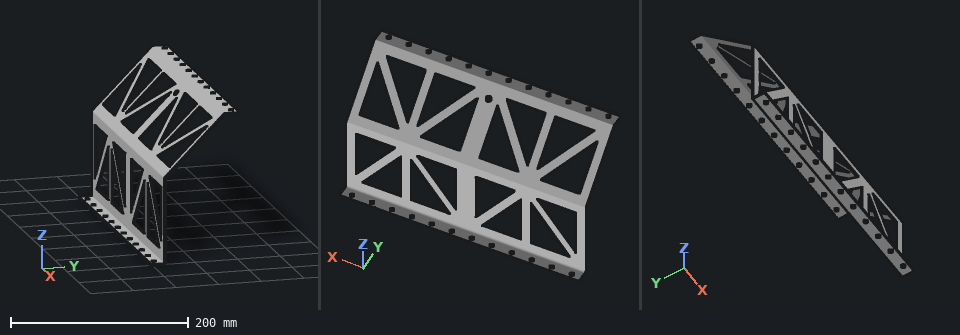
import cadquery as cq
import math

length = 304.8
depth = 103.3
height = 172.5
thickness = 2.0
inner_radius = 0.55
outer_radius = inner_radius + thickness

slope_angle = 45.0
slope_sin = math.sin(math.radians(slope_angle))
slope_cos = math.cos(math.radians(slope_angle))
panel_flat = (height - 2 * outer_radius) / (1 + slope_sin)
foot_flat = 14.3

rivet_diameter = 5.0
rivet_count = 12
rivet_pitch = length / rivet_count
rivet_edge_distance = 6.5

bar_width = rivet_pitch / 2
center_bar_width = 2 * bar_width
bay_width = (length / 2 - center_bar_width / 2 - 2 * bar_width) / 2
bay_height = panel_flat - 2 * bar_width

locating_hole_diameter = 6.5
locating_hole_drop = 19.2

foot_bend = (foot_flat, outer_radius)
wall_front = foot_flat + inner_radius
middle_bend = (wall_front + outer_radius, outer_radius + panel_flat)
top_bend = (
    middle_bend[0] + panel_flat * slope_cos,
    middle_bend[1] + panel_flat * slope_sin,
)

TO_BACK = 0
TO_TOP = 90
TO_FRONT = 180
TO_BOTTOM = -90
TO_SLOPE = TO_FRONT - slope_angle


def on_bend(center, radius, angle):
    """Point on a bend at the given direction from its centre."""
    turn = math.radians(angle)
    return (center[0] + radius * math.cos(turn), center[1] + radius * math.sin(turn))


def draw_bend(outline, center, radius, start, end):
    """Run the outline straight to a bend and then around it."""
    middle = (start + end) / 2
    return outline.lineTo(*on_bend(center, radius, start)).threePointArc(
        on_bend(center, radius, middle), on_bend(center, radius, end)
    )


def make_sheet():
    """Bent sheet: foot flange, vertical wall, sloped panel and top flange."""
    outline = cq.Workplane("YZ").moveTo(0, thickness)
    outline = draw_bend(outline, foot_bend, inner_radius, TO_BOTTOM, TO_BACK)
    outline = draw_bend(outline, middle_bend, outer_radius, TO_FRONT, TO_SLOPE)
    outline = draw_bend(outline, top_bend, outer_radius, TO_SLOPE, TO_TOP)
    outline = outline.lineTo(depth, height).lineTo(depth, height - thickness)

    outline = draw_bend(outline, top_bend, inner_radius, TO_TOP, TO_SLOPE)
    outline = draw_bend(outline, middle_bend, inner_radius, TO_SLOPE, TO_FRONT)
    outline = draw_bend(outline, foot_bend, outer_radius, TO_BACK, TO_BOTTOM)
    return outline.lineTo(0, 0).close().extrude(length / 2, both=True)


def panel_plane(angle):
    """Plane on the front skin of the panel that leaves the middle bend at this direction.

    The origin is where the panel meets the bend, local Y points up along the
    panel and the normal points out of the front skin.
    """
    y, z = on_bend(middle_bend, outer_radius, angle)
    normal_y, normal_z = on_bend((0, 0), 1, angle)
    return cq.Plane(origin=(0, y, z), xDir=(1, 0, 0), normal=(0, normal_y, normal_z))


def cut_triangle(sheet, plane, corner, leg_x, leg_y):
    """Cut a right triangle through a panel, given its square corner and signed legs."""
    x, y = corner
    triangle = (
        cq.Workplane(plane)
        .polyline([(x, y), (x + leg_x, y), (x, y + leg_y)])
        .close()
        .extrude(2 * thickness, both=True)
    )
    return sheet.cut(triangle)


def cut_windows(sheet, plane, up):
    """Cut two triangles, split by a diagonal bar, in each bay of a panel.

    The panel runs up from the middle bend for up = 1 and down for up = -1. On
    each side of the centre, the two diagonals meet at the post between the bays,
    at the end nearest the middle bend.
    """
    diagonal = math.hypot(bay_width, bay_height)
    leg_x = bay_width - bar_width / 2 * diagonal / bay_height
    leg_y = up * leg_x * bay_height / bay_width
    near_bend = up * bar_width
    far_from_bend = up * (bar_width + bay_height)
    inner_x = center_bar_width / 2
    outer_x = length / 2 - bar_width
    for side in (-1, 1):
        for edge_x, to_post in ((inner_x, 1), (outer_x, -1)):
            edge_corner = (side * edge_x, near_bend)
            post_corner = (side * (edge_x + to_post * bay_width), far_from_bend)
            step_x = side * to_post * leg_x
            sheet = cut_triangle(sheet, plane, edge_corner, step_x, leg_y)
            sheet = cut_triangle(sheet, plane, post_corner, -step_x, -leg_y)
    return sheet


def cut_rivet_holes(sheet):
    """Cut one row of rivet holes through each flange."""
    for y in (rivet_edge_distance, depth - rivet_edge_distance):
        row = (
            cq.Workplane("XY")
            .center(0, y)
            .rarray(rivet_pitch, 3, rivet_count, 1)
            .circle(rivet_diameter / 2)
            .extrude(height)
        )
        sheet = sheet.cut(row)
    return sheet


def cut_locating_hole(sheet, plane):
    """Cut the single hole square through the sloped panel, near its top edge."""
    hole = (
        cq.Workplane(plane)
        .center(0, panel_flat - locating_hole_drop)
        .circle(locating_hole_diameter / 2)
        .extrude(2 * thickness, both=True)
    )
    return sheet.cut(hole)


wall_plane = panel_plane(TO_FRONT)
slope_plane = panel_plane(TO_SLOPE)

result = make_sheet()
result = cut_windows(result, wall_plane, up=-1)
result = cut_windows(result, slope_plane, up=1)
result = cut_rivet_holes(result)
result = cut_locating_hole(result, slope_plane)